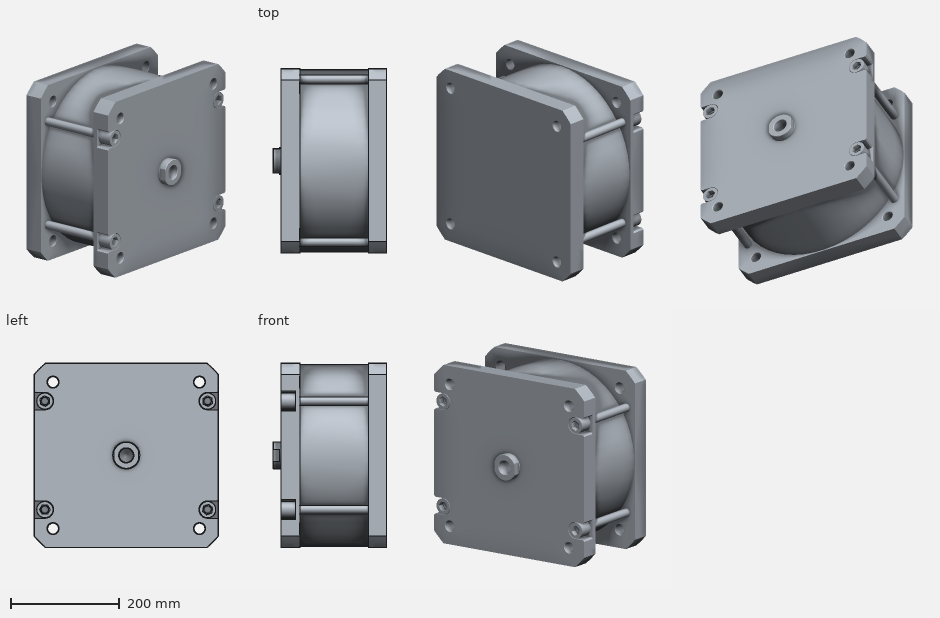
import cadquery as cq
import math

rod_projection = 15.0
head_thickness = 35.0
barrel_length = 126.0
cap_thickness = 34.0
head_face_x = rod_projection
barrel_start_x = head_face_x + head_thickness
cap_start_x = barrel_start_x + barrel_length

plate_side = 340.0
plate_half = plate_side / 2
corner_turning_diameter = 452.0
mount_hole_diameter = 20.0
mount_hole_chamfer = 1.0
mount_hole_offset = 135.0

barrel_diameter = 336.0

rod_diameter = 50.0
rod_flat_width = 45.0
rod_flat_length = 12.5
rod_tip_chamfer = 1.0
rod_bore_diameter = 26.0
rod_bore_chamfer = 1.0
rod_bore_depth = 40.0
drill_point_angle = 118.0

bolt_y = 150.0
bolt_z = 100.0
bolt_head_diameter = 30.0
bolt_head_length = 27.0
bolt_shank_diameter = 16.0
bolt_thread_engagement = 25.0
socket_across_flats = 17.0
socket_depth = 12.0
socket_pilot_diameter = 13.5
socket_pilot_depth = 15.0
slot_width = 32.0
slot_edge_bevel = 2.5

tie_bolt_settings = [
    (bolt_y, bolt_z, 25.0),
    (-bolt_y, bolt_z, 25.0),
    (bolt_y, -bolt_z, 0.0),
    (-bolt_y, -bolt_z, 40.0),
]
bolt_positions = [(y, z) for y, z, socket_angle in tie_bolt_settings]
mount_positions = [(y, z) for y in (-mount_hole_offset, mount_hole_offset)
                   for z in (-mount_hole_offset, mount_hole_offset)]
bolt_shank_start_x = head_face_x + bolt_head_length
bolt_end_x = cap_start_x + bolt_thread_engagement


def section(x):
    """Workplane across the axis at x: local axes are Y and Z, extrusion runs along +X."""
    return cq.Workplane("YZ", origin=(x, 0, 0))


def bore_cutter(radius, depth, mouth_chamfer):
    """Bore running from the origin along +X, chamfered at its mouth and square at its end."""
    return (
        cq.Workplane("XY")
        .lineTo(0, radius + mouth_chamfer)
        .lineTo(mouth_chamfer, radius)
        .lineTo(depth, radius)
        .lineTo(depth, 0)
        .close()
        .revolve(360, (0, 0, 0), (1, 0, 0))
    )


def cone_cutter(radius, included_angle):
    """Cone with its base at the origin and its point along +X."""
    height = radius / math.tan(math.radians(included_angle / 2))
    return (
        cq.Workplane("XY")
        .lineTo(0, radius)
        .lineTo(height, 0)
        .close()
        .revolve(360, (0, 0, 0), (1, 0, 0))
    )


def end_plate(start_x, thickness):
    """Square plate with turned corners and four mounting holes chamfered at both ends."""
    square = section(start_x).rect(plate_side, plate_side).extrude(thickness)
    turned_disc = section(start_x).circle(corner_turning_diameter / 2).extrude(thickness)
    plate = square.intersect(turned_disc)
    middle_x = start_x + thickness / 2
    half_hole = bore_cutter(mount_hole_diameter / 2, thickness / 2, mount_hole_chamfer)
    near_half = half_hole.translate((start_x, 0, 0))
    far_half = near_half.mirror("YZ", (middle_x, 0, 0))
    for y, z in mount_positions:
        plate = plate.cut(near_half.translate((0, y, z)))
        plate = plate.cut(far_half.translate((0, y, z)))
    return plate


def bolt_shanks():
    """Shank cylinders of all four tie bolts."""
    return (
        section(bolt_shank_start_x)
        .pushPoints(bolt_positions)
        .circle(bolt_shank_diameter / 2)
        .extrude(bolt_end_x - bolt_shank_start_x)
    )


def bolt_slot(y, z):
    """Round-ended slot around a bolt head, widening where it leaves the plate side."""
    outward = math.copysign(1, y)
    half = slot_width / 2
    side_y = outward * plate_half
    bevel_y = side_y - outward * slot_edge_bevel
    flare = half + slot_edge_bevel
    return (
        section(head_face_x)
        .moveTo(y, z + half)
        .lineTo(bevel_y, z + half)
        .lineTo(side_y, z + flare)
        .lineTo(side_y, z - flare)
        .lineTo(bevel_y, z - half)
        .lineTo(y, z - half)
        .threePointArc((y - outward * half, z), (y, z + half))
        .close()
        .extrude(bolt_head_length)
    )


def make_head_plate():
    plate = end_plate(head_face_x, head_thickness).cut(bolt_shanks())
    for y, z in bolt_positions:
        plate = plate.cut(bolt_slot(y, z))
    rod_hole = section(head_face_x).circle(rod_diameter / 2).extrude(head_thickness)
    return plate.cut(rod_hole)


def make_cap_plate():
    return end_plate(cap_start_x, cap_thickness).cut(bolt_shanks())


def make_barrel():
    return section(barrel_start_x).circle(barrel_diameter / 2).extrude(barrel_length)


def make_piston_rod():
    """Rod ending on the barrel, with two flats and a bore with a conical drill point."""
    rod = (
        section(0)
        .circle(rod_diameter / 2)
        .extrude(barrel_start_x)
        .faces("<X")
        .chamfer(rod_tip_chamfer)
    )
    flat_stock = section(0).rect(rod_diameter, rod_diameter).extrude(rod_flat_length)
    between_flats = section(0).rect(rod_flat_width, rod_diameter).extrude(rod_flat_length)
    bore_radius = rod_bore_diameter / 2
    bore = bore_cutter(bore_radius, rod_bore_depth, rod_bore_chamfer)
    drill_point = cone_cutter(bore_radius, drill_point_angle).translate((rod_bore_depth, 0, 0))
    return rod.cut(flat_stock.cut(between_flats)).cut(bore).cut(drill_point)


def make_tie_bolt(y, z, socket_angle):
    """Cylindrical head with a hexagon socket over a round pilot hole, on a long plain shank."""
    socket_across_corners = socket_across_flats / math.cos(math.pi / 6)
    head_face = section(head_face_x).center(y, z)
    head = head_face.circle(bolt_head_diameter / 2).extrude(bolt_head_length)
    shank = (
        section(bolt_shank_start_x)
        .center(y, z)
        .circle(bolt_shank_diameter / 2)
        .extrude(bolt_end_x - bolt_shank_start_x)
    )
    socket = (
        head_face
        .transformed(rotate=(0, 0, socket_angle))
        .polygon(6, socket_across_corners)
        .extrude(socket_depth)
    )
    pilot = head_face.circle(socket_pilot_diameter / 2).extrude(socket_pilot_depth)
    return head.union(shank).cut(socket).cut(pilot)


head_plate = make_head_plate()
cap_plate = make_cap_plate()
barrel = make_barrel()
piston_rod = make_piston_rod()
tie_bolts = [make_tie_bolt(*setting) for setting in tie_bolt_settings]

result = cq.Compound.makeCompound([
    head_plate.val(),
    cap_plate.val(),
    barrel.val(),
    piston_rod.val(),
    *[bolt.val() for bolt in tie_bolts],
])